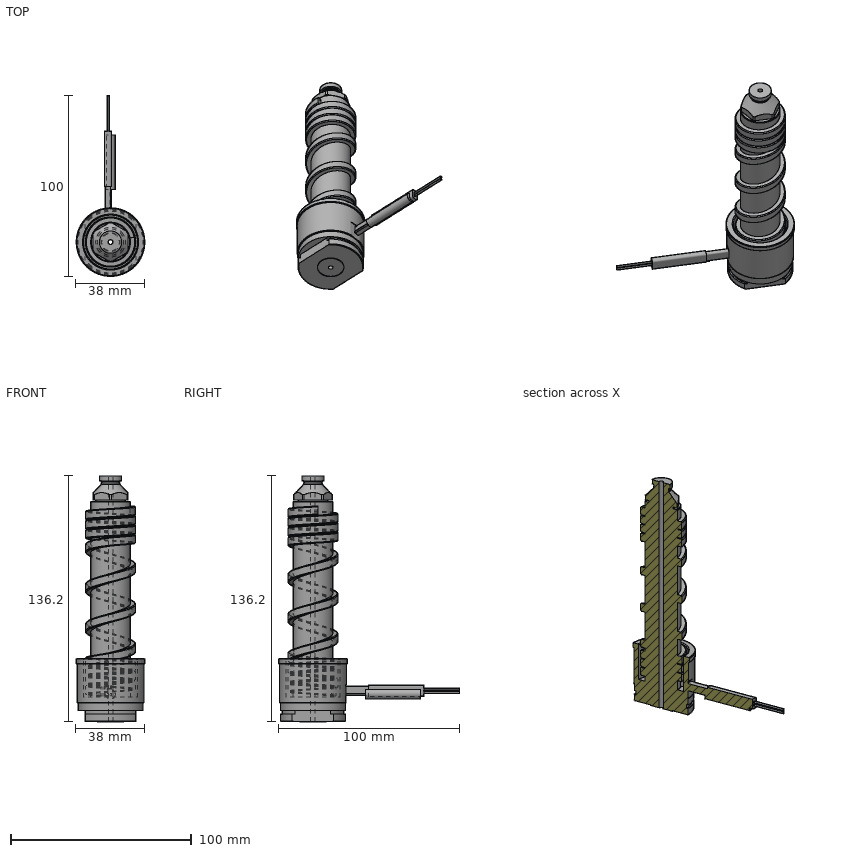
import cadquery as cq
import math

PAD_TOP = 0.35
FLANGE_TOP = 4.4
GROOVE_TOP = 6.4
SHOULDER_TOP = 10.5
COLLAR_BOTTOM = 32.1
COLLAR_TOP = 35.2
TUBE_TOP = 122.1
NUT_BOTTOM = 122.8
CONE_BOTTOM = 125.75
CONE_TOP = 131.5
LAND_TOP = 132.2
NECK_TOP = 133.0
HEAD_BOTTOM = 133.4
TOTAL_HEIGHT = 136.2

PAD_RADIUS = 7.3
FLANGE_RADIUS = 18.1
GROOVE_RADIUS = 17.1
SHOULDER_RADIUS = 18.0
BODY_RADIUS = 18.55
COLLAR_RADIUS = 19.0
POCKET_RADIUS = 14.9
POCKET_MOUTH_RADIUS = 15.5
TUBE_RADIUS = 11.0
NUT_NECK_RADIUS = 8.2
NUT_RADIUS = 10.75
CONE_TOP_RADIUS = 5.2
NECK_RADIUS = 4.9
HEAD_RADIUS = 6.15
BORE_RADIUS = 1.25

CHAMFER = 0.4
BASE_FLAT_DISTANCE = 14.0
NUT_ACROSS_FLATS = 19.2
POCKET_FLOOR = 14.0
CABLE_FLAT_DISTANCE = 18.2
CABLE_FLAT_TOP = 20.8

COIL_RADIUS = 13.9
COIL_ROOT_RADIUS = TUBE_RADIUS - 0.3
COIL_HEIGHT = 5.0
COIL_CHAMFER = 0.55
COIL_START_ANGLE = 12.0
COIL_START_Z = 117.1
TIGHT_PITCH = 5.2
OPEN_PITCH = 22.0
TIGHT_SWEEP = 1148.0
TRANSITION_SWEEP = 139.0
OPEN_SWEEP = 925.5
RAIL_STEP = 15.0

CABLE_X = -1.45
CABLE_Z = 17.35
CABLE_WIDTH = 3.0
CABLE_HEIGHT = 5.2
CABLE_CORNER = 0.65
SLEEVE_CORNER = 1.0
SLEEVE_WALL = 0.5
CABLE_ROOT_Y = 16.5
SLEEVE_START_Y = 30.8
SLEEVE_END_Y = 61.3
WIRE_END_Y = 81.0
WIRE_RADIUS = 0.6
WIRE_SPACING = 1.8
WIRE_X = -1.25
SENSOR_X = 0.05
SENSOR_Z = 15.4
SENSOR_RADIUS = 0.55
SENSOR_SLEEVE_RADIUS = 2.6
SENSOR_SLEEVE_START_Y = 29.0
SENSOR_SLEEVE_END_Y = 59.3


def revolve_outline(points):
    """Solid of revolution about Z from (radius, z) points; the axis closes the outline."""
    outline = [(0, points[0][1])] + points + [(0, points[-1][1])]
    return cq.Workplane("XZ").polyline(outline).close().revolve(360, (0, 0, 0), (0, 1, 0))


def make_base():
    """Bottom pad and grooved flange with two parallel flats."""
    base = revolve_outline([
        (FLANGE_RADIUS - CHAMFER, PAD_TOP),
        (FLANGE_RADIUS, PAD_TOP + CHAMFER),
        (FLANGE_RADIUS, FLANGE_TOP),
        (GROOVE_RADIUS, FLANGE_TOP),
        (GROOVE_RADIUS, GROOVE_TOP),
    ])
    between_flats = cq.Workplane("XY").box(
        2 * BASE_FLAT_DISTANCE, 2 * FLANGE_RADIUS, GROOVE_TOP, centered=(True, True, False)
    )
    pad = cq.Workplane("XY").circle(PAD_RADIUS).extrude(PAD_TOP)
    return base.intersect(between_flats).union(pad)


def make_body():
    """Housing with a collar, a coil pocket with a 45-degree mouth, and a flat where the cables enter."""
    body = revolve_outline([
        (SHOULDER_RADIUS, GROOVE_TOP),
        (SHOULDER_RADIUS, SHOULDER_TOP),
        (BODY_RADIUS - CHAMFER, SHOULDER_TOP),
        (BODY_RADIUS, SHOULDER_TOP + CHAMFER),
        (BODY_RADIUS, COLLAR_BOTTOM),
        (COLLAR_RADIUS - CHAMFER, COLLAR_BOTTOM),
        (COLLAR_RADIUS, COLLAR_BOTTOM + CHAMFER),
        (COLLAR_RADIUS, COLLAR_TOP - CHAMFER),
        (COLLAR_RADIUS - CHAMFER, COLLAR_TOP),
    ])
    pocket = revolve_outline([
        (POCKET_RADIUS, POCKET_FLOOR),
        (POCKET_RADIUS, COLLAR_TOP + POCKET_RADIUS - POCKET_MOUTH_RADIUS),
        (POCKET_MOUTH_RADIUS, COLLAR_TOP),
    ])
    flat_cut = cq.Workplane("XY").box(
        2 * BODY_RADIUS, BODY_RADIUS, CABLE_FLAT_TOP - SHOULDER_TOP, centered=(True, False, False)
    ).translate((0, CABLE_FLAT_DISTANCE, SHOULDER_TOP))
    return body.cut(pocket).cut(flat_cut)


def make_tube():
    """Plain tube standing on the pocket floor, with the thin neck below the nut."""
    return revolve_outline([
        (TUBE_RADIUS, POCKET_FLOOR),
        (TUBE_RADIUS, TUBE_TOP - CHAMFER),
        (TUBE_RADIUS - CHAMFER, TUBE_TOP),
        (NUT_NECK_RADIUS, TUBE_TOP),
        (NUT_NECK_RADIUS, NUT_BOTTOM),
    ])


def make_tip():
    """Conical hexagon nut, with corners toward +Y and -Y, and the round head above it."""
    nut = revolve_outline([
        (NUT_RADIUS, NUT_BOTTOM),
        (NUT_RADIUS, CONE_BOTTOM),
        (CONE_TOP_RADIUS, CONE_TOP),
    ])
    across_corners = NUT_ACROSS_FLATS / math.cos(math.pi / 6)
    hexagon = (
        cq.Workplane("XY", origin=(0, 0, NUT_BOTTOM))
        .transformed(rotate=(0, 0, 30))
        .polygon(6, across_corners)
        .extrude(CONE_TOP - NUT_BOTTOM)
    )
    head = revolve_outline([
        (CONE_TOP_RADIUS, CONE_TOP),
        (CONE_TOP_RADIUS, LAND_TOP),
        (NECK_RADIUS, LAND_TOP),
        (NECK_RADIUS, NECK_TOP),
        (CONE_TOP_RADIUS, NECK_TOP),
        (CONE_TOP_RADIUS, HEAD_BOTTOM),
        (HEAD_RADIUS, HEAD_BOTTOM),
        (HEAD_RADIUS, TOTAL_HEIGHT),
    ])
    return nut.intersect(hexagon).union(head)


def coil_rail(radius, offset, start_angle, start_z, sweep, start_pitch, end_pitch):
    """Helical edge going down; the pitch changes evenly from start_pitch to end_pitch."""
    steps = math.ceil(sweep / RAIL_STEP)
    points = []
    for i in range(steps + 1):
        part = i / steps
        angle = math.radians(start_angle - sweep * part)
        mean_pitch = start_pitch + (end_pitch - start_pitch) * part / 2
        z = start_z - mean_pitch * sweep * part / 360 + offset
        points.append(cq.Vector(radius * math.cos(angle), radius * math.sin(angle), z))
    return cq.Edge.makeSpline(points)


def end_cap(rails, at_start):
    """Flat face closing the strip at the first or last points of its rails."""
    corners = [rail.startPoint() if at_start else rail.endPoint() for rail in rails]
    return cq.Face.makeFromWires(cq.Wire.makePolygon(corners, close=True))


def make_coil():
    """Heater strip: tight turns at both ends, open turns between, joined by pitch transitions."""
    half = COIL_HEIGHT / 2
    section = [
        (COIL_ROOT_RADIUS, -half),
        (COIL_RADIUS - COIL_CHAMFER, -half),
        (COIL_RADIUS, -half + COIL_CHAMFER),
        (COIL_RADIUS, half - COIL_CHAMFER),
        (COIL_RADIUS - COIL_CHAMFER, half),
        (COIL_ROOT_RADIUS, half),
    ]
    stretches = [
        (TIGHT_SWEEP, TIGHT_PITCH, TIGHT_PITCH),
        (TRANSITION_SWEEP, TIGHT_PITCH, OPEN_PITCH),
        (OPEN_SWEEP, OPEN_PITCH, OPEN_PITCH),
        (TRANSITION_SWEEP, OPEN_PITCH, TIGHT_PITCH),
        (TIGHT_SWEEP, TIGHT_PITCH, TIGHT_PITCH),
    ]
    angle = COIL_START_ANGLE
    z = COIL_START_Z
    faces = []
    for index, (sweep, start_pitch, end_pitch) in enumerate(stretches):
        rails = [coil_rail(r, dz, angle, z, sweep, start_pitch, end_pitch) for r, dz in section]
        for rail, next_rail in zip(rails, rails[1:] + rails[:1]):
            faces.append(cq.Face.makeRuledSurface(rail, next_rail))
        if index == 0:
            faces.append(end_cap(rails, True))
        if index == len(stretches) - 1:
            faces.append(end_cap(rails, False))
        angle -= sweep
        z -= (start_pitch + end_pitch) / 2 * sweep / 360
    return cq.Workplane(cq.Solid.makeSolid(cq.Shell.makeShell(faces)))


def plane_facing_y(x, y, z):
    """Workplane at the given point with its normal along +Y."""
    return cq.Workplane(cq.Plane((x, y, z), xDir=(-1, 0, 0), normal=(0, 1, 0)))


def rounded_bar(start_y, end_y, growth, corner):
    """Rounded rectangular bar around the power cable line, grown outward on all sides."""
    return (
        plane_facing_y(CABLE_X, start_y, CABLE_Z)
        .rect(CABLE_WIDTH + 2 * growth, CABLE_HEIGHT + 2 * growth)
        .extrude(end_y - start_y)
        .edges("|Y")
        .fillet(corner)
    )


def rod(x, z, radius, start_y, end_y):
    """Round rod along +Y."""
    return plane_facing_y(x, start_y, z).circle(radius).extrude(end_y - start_y)


def make_cables():
    """Power cable with its sleeve and two bare wires, and the sensor cable with its sleeve."""
    cables = rounded_bar(CABLE_ROOT_Y, SLEEVE_START_Y, 0, CABLE_CORNER)
    sleeve = rounded_bar(SLEEVE_START_Y, SLEEVE_END_Y, SLEEVE_WALL, SLEEVE_CORNER)
    cables = cables.union(sleeve)
    for side in (-1, 1):
        wire_z = CABLE_Z + side * WIRE_SPACING / 2
        cables = cables.union(rod(WIRE_X, wire_z, WIRE_RADIUS, SLEEVE_END_Y, WIRE_END_Y))
    cables = cables.union(rod(SENSOR_X, SENSOR_Z, SENSOR_RADIUS, CABLE_ROOT_Y, SENSOR_SLEEVE_START_Y))
    sensor_sleeve = rod(
        SENSOR_X, SENSOR_Z, SENSOR_SLEEVE_RADIUS, SENSOR_SLEEVE_START_Y, SENSOR_SLEEVE_END_Y
    )
    return cables.union(sensor_sleeve)


nozzle = make_base().union(make_body()).union(make_tube()).union(make_tip())
nozzle = nozzle.union(make_coil()).union(make_cables())
bore = cq.Workplane("XY").circle(BORE_RADIUS).extrude(TOTAL_HEIGHT)
result = nozzle.cut(bore)